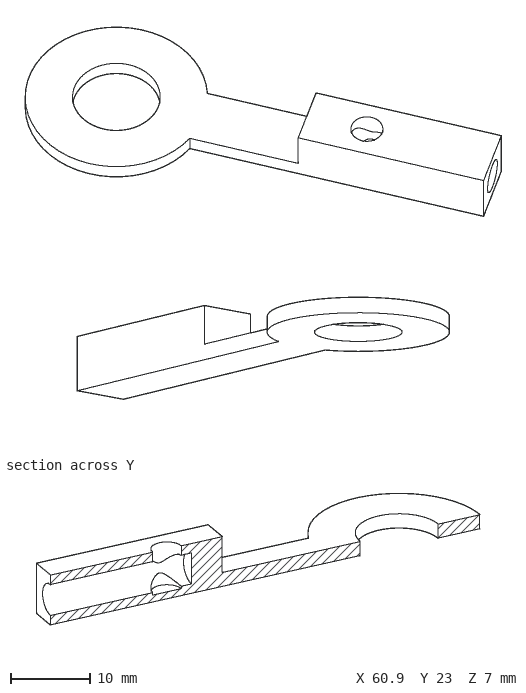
import cadquery as cq

overall_length = 60.9
ring_diameter = 23.0
ring_hole_diameter = 11.0
plate_thickness = 2.0
arm_width = 7.75
block_length = 24.4
block_height = 7.0
cross_hole_diameter = 4.0
cross_hole_depth = 6.0
cross_hole_from_end = 16.5
bore_diameter = 4.25
bore_length = 20.0

arm_end = overall_length - ring_diameter / 2
block_start = arm_end - block_length
cross_hole_x = arm_end - cross_hole_from_end


def bar(start, end, height):
    """Straight bar along X, centred on Y and resting on Z = 0."""
    return cq.Workplane("XY").box(
        end - start, arm_width, height, centered=(False, True, False)
    ).translate((start, 0, 0))


ring = cq.Workplane("XY").circle(ring_diameter / 2).extrude(plate_thickness)
arm = bar(0, arm_end, plate_thickness)
block = bar(block_start, arm_end, block_height)
body = ring.union(arm).union(block)

ring_hole = cq.Workplane("XY").circle(ring_hole_diameter / 2).extrude(plate_thickness)

cross_hole = (
    cq.Workplane("XY", origin=(cross_hole_x, 0, block_height))
    .circle(cross_hole_diameter / 2)
    .extrude(-cross_hole_depth)
)

end_bore = (
    cq.Workplane("YZ", origin=(arm_end, 0, block_height / 2))
    .circle(bore_diameter / 2)
    .extrude(-bore_length)
)

result = body.cut(ring_hole).cut(cross_hole).cut(end_bore)